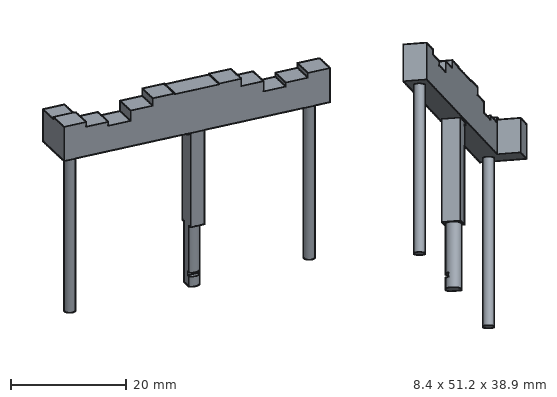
import cadquery as cq
import math

bar_length = 51.25
bar_width = 4.2
step_count = 12
step_length = bar_length / step_count
side_step_heights = [6.65, 5.75, 4.95, 6.95, 8.4]
middle_step_height = 8.25
middle_start = len(side_step_heights)
middle_end = step_count - middle_start

side_steps = [(height, index, index + 1) for index, height in enumerate(side_step_heights)]
mirrored_steps = [
    (height, step_count - end, step_count - start) for height, start, end in reversed(side_steps)
]
steps = side_steps + [(middle_step_height, middle_start, middle_end)] + mirrored_steps

block_width = 4.2
block_length = 4.15
block_height = 6.25

pin_diameter = 2.05
pin_length = 30.45
pin_spacing = 46.1
pin_shift_y = -0.45
pin_x = bar_width / 2

post_x = 2.05
post_side = 3.4
foot_height = 0.45
square_length = 18.6
shank_diameter = 2.85
flat_offset = 1

notch_height = 0.75
notch_tip_distance = 2.0
notch_floor_offset = 0.55


def make_bar():
    """Bar with a stepped top, symmetric about its middle."""
    outline = [(-bar_length / 2, 0)]
    for height, start, end in steps:
        outline.append((start * step_length - bar_length / 2, height))
        outline.append((end * step_length - bar_length / 2, height))
    outline.append((bar_length / 2, 0))
    return cq.Workplane("YZ").polyline(outline).close().extrude(bar_width)


def make_block():
    """Block standing against the -X face of the bar, flush with its -Y end."""
    return cq.Workplane("XY").box(block_width, block_length, block_height, centered=False).translate(
        (-block_width, -bar_length / 2, 0)
    )


def make_pins():
    """Pair of pins hanging from the underside of the bar."""
    centres = [(pin_x, pin_shift_y + side * pin_spacing / 2) for side in (-1, 1)]
    return cq.Workplane("XY").pushPoints(centres).circle(pin_diameter / 2).extrude(-pin_length)


def make_post():
    """Central post with one flat along its -Y side below the foot."""
    top = cq.Workplane("XY").center(post_x, 0)
    foot = top.rect(post_side, post_side).extrude(-foot_height)

    square_depth = post_side / 2 + flat_offset
    square_centre_y = (post_side / 2 - flat_offset) / 2
    square = top.center(0, square_centre_y).rect(post_side, square_depth).extrude(-square_length)

    radius = shank_diameter / 2
    half_flat = math.sqrt(radius**2 - flat_offset**2)
    shank = (
        top.moveTo(-half_flat, -flat_offset)
        .threePointArc((0, radius), (half_flat, -flat_offset))
        .close()
        .extrude(-pin_length)
    )
    notch = cq.Workplane("XY").box(
        shank_diameter, shank_diameter, notch_height, centered=(False, True, False)
    ).translate((post_x + notch_floor_offset, 0, notch_tip_distance - pin_length))
    return foot.union(square).union(shank.cut(notch))


result = make_bar().union(make_block()).union(make_pins()).union(make_post())